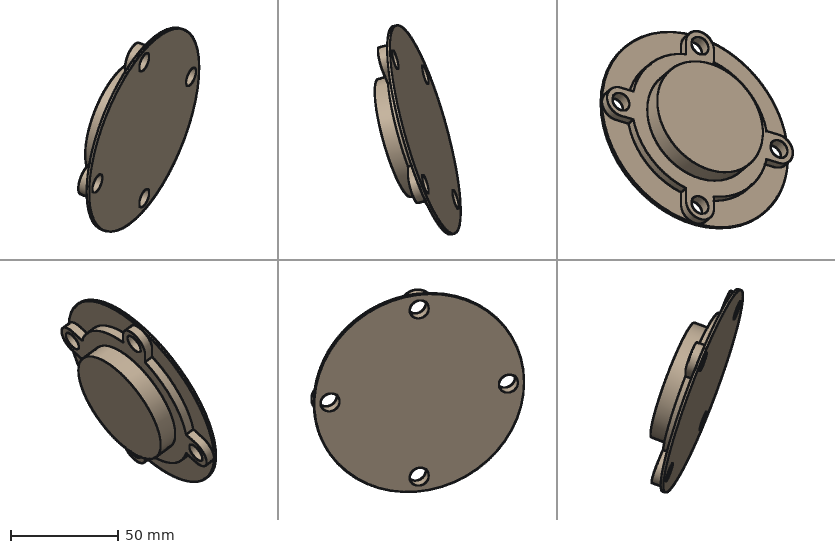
import cadquery as cq

plate_diameter = 101.0
plate_thickness = 1.4
total_depth = 15.2
boss_diameter = 57.4
boss_height = 9.2
flange_diameter = 73.9
lug_width = 15.2
hole_diameter = 9.1
lug_count = 4

flange_thickness = total_depth - boss_height - plate_thickness
lug_center_radius = (plate_diameter - lug_width) / 2
flange_start = boss_height
plate_start = flange_start + flange_thickness


def disc(start, diameter, thickness):
    """Disc on the X axis, extending toward +X from the given start."""
    return cq.Workplane("YZ", origin=(start, 0, 0)).circle(diameter / 2).extrude(thickness)


def lug():
    """Straight-sided lug with a round end, reaching from the axis toward +Y."""
    return (
        cq.Workplane("YZ", origin=(flange_start, 0, 0))
        .moveTo(0, -lug_width / 2)
        .lineTo(lug_center_radius, -lug_width / 2)
        .threePointArc((plate_diameter / 2, 0), (lug_center_radius, lug_width / 2))
        .lineTo(0, lug_width / 2)
        .close()
        .extrude(flange_thickness)
    )


body = disc(0, boss_diameter, boss_height)
body = body.union(disc(flange_start, flange_diameter, flange_thickness))
body = body.union(disc(plate_start, plate_diameter, plate_thickness))

for index in range(lug_count):
    angle = index * 360 / lug_count
    body = body.union(lug().rotate((0, 0, 0), (1, 0, 0), angle))

holes = (
    cq.Workplane("YZ")
    .polarArray(lug_center_radius, 0, 360, lug_count)
    .circle(hole_diameter / 2)
    .extrude(total_depth)
)
result = body.cut(holes)